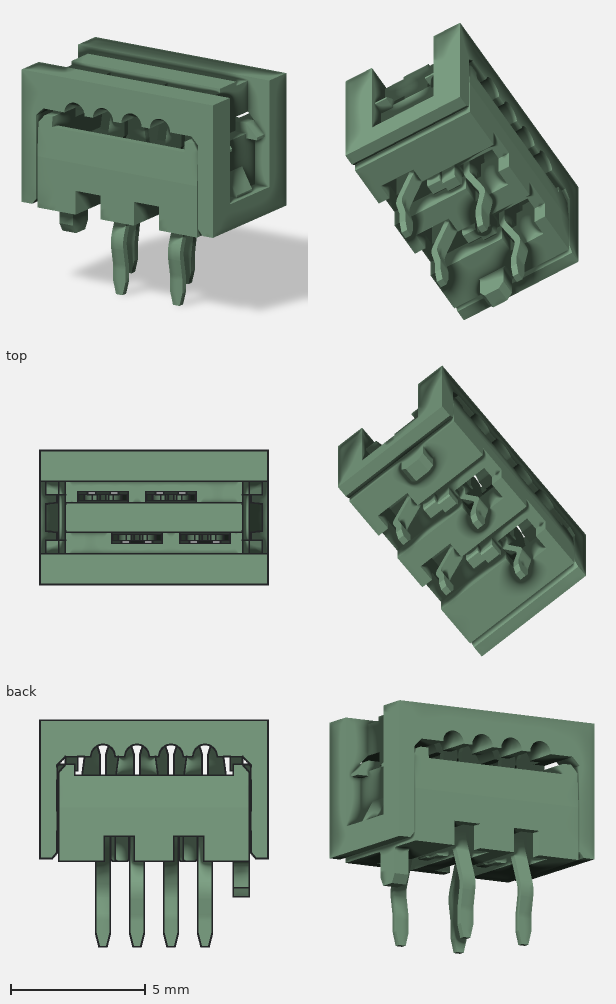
import cadquery as cq
import math


length = 8.51
width = 5.0
height = 8.45
half_width = width / 2
top_z = 5.26
pitch = 1.27
front_row_x = (-pitch / 2, 1.5 * pitch)
wire_x = [(i - 1.5) * pitch for i in range(4)]

cover_bottom_z = 0.1
opening_half_length = 3.61
opening_top_z = 3.9
opening_corner_x = 3.3
opening_corner_z = 3.58
lead_in_width = 0.19
lead_in_height = 0.22
window_half_width = 1.345
sill_z = 1.115
block_half_length = 3.3
block_top_z = 5.1
rib_half_width = 0.55
wire_radius = 0.45
tongue_length = 0.47
tongue_half_width = 0.49
tongue_bottom_z = 3.37
slot_half_length = 0.94
slot_outer_y = 0.95

housing_half_length = 3.56
wall_top_z = 3.21
ear_top_z = 3.61
ear_length = 0.61
ear_inner_y = 0.84
ear_chamfer_length = 0.26
ear_chamfer_height = 0.3
side_taper_z = 2.0
side_taper = 0.085
side_wall = 0.375
floor_z = 2.38
cavity_half_length = housing_half_length - ear_length

latch_tip_x = 4.03
latch_tip_height = 0.1
upper_latch_bottom_z = 3.02
lower_latch_top_z = 2.01
lower_latch_top_half_width = 0.56
lower_latch_bottom_half_width = 0.5

notch_x = 1.29
notch_length = 1.115
notch_height = 0.93
leg_pocket_half_length = 0.57
leg_pocket_outer_y = 2.04
post_length = 0.53
post_gap = 0.29
post_depth = 0.55
post_chamfer = 0.07

peg_depth = 1.02
peg_front_y = -1.0
peg_bottom_z = -1.33
peg_tip_width = 0.2
peg_tip_height = 0.34
peg_root_fillet = 0.11

sheet = 0.25
blade_inner_y = 0.62
blade_y = blade_inner_y + sheet / 2
neck_bottom_z = 1.53
shoulder_half_width = 0.9
blade_mid_half_width = 0.78
blade_mid_z = 3.21
prong_half_width = 0.69
prong_z = 3.9
prong_round = (0.595, 4.2)
tip_outer_x = 0.39
tip_inner_x = 0.22
tip_z = 4.34
lead_in_z = 3.97
wire_slot_half_width = 0.106
wire_slot_eye_radius = 0.22
wire_slot_eye_z = 2.64

leg_half_width = 0.27
leg_tip_half_width = 0.145
leg_taper_z = -2.68
leg_bottom_z = top_z - height
leg_bend_radius = 0.84
foot_y = 1.272
leg_path = [
    (blade_y, neck_bottom_z),
    (blade_y, 0.73),
    (1.46, -1.08),
    (foot_y, -2.08),
    (foot_y, leg_bottom_z),
]


def block(x0, x1, y0, y1, z0, z1):
    """Box between two opposite corners."""
    return cq.Workplane("XY").box(x1 - x0, y1 - y0, z1 - z0, centered=False).translate((x0, y0, z0))


def prism_along_y(points, y0, y1):
    """Outline of (x, z) points extruded from y0 to y1."""
    return cq.Workplane("XZ", origin=(0, y1, 0)).polyline(points).close().extrude(y1 - y0)


def both_ends(body):
    """The body and its mirror image at the other end of the connector."""
    return body.union(body.mirror("YZ"))


def half_turn(body):
    """The body turned half round about the Z axis."""
    return body.rotate((0, 0, 0), (0, 0, 1), 180)


def both_rows(body):
    """The front row feature and its counterpart in the rear row."""
    return body.union(half_turn(body))


def cover_opening():
    """Tunnel through the cover for the housing, with cut top corners and a lead-in at the bottom."""
    lead_in_x = opening_half_length + lead_in_width
    right_half = [
        (opening_corner_x, opening_top_z),
        (opening_half_length, opening_corner_z),
        (opening_half_length, cover_bottom_z + lead_in_height),
        (lead_in_x, cover_bottom_z),
    ]
    left_half = [(-x, z) for x, z in reversed(right_half)]
    return prism_along_y(right_half + left_half, -half_width, half_width)


def build_cover():
    half_length = length / 2
    cover = block(-half_length, half_length, -half_width, half_width, cover_bottom_z, top_z)
    cover = cover.cut(
        block(-half_length, half_length, -window_half_width, window_half_width, sill_z, top_z)
    )
    cover = cover.cut(cover_opening())

    cover = cover.union(
        block(
            -block_half_length, block_half_length,
            -window_half_width, window_half_width, opening_top_z, block_top_z,
        )
    )
    cover = cover.union(
        block(
            -block_half_length, block_half_length,
            -rib_half_width, rib_half_width, opening_top_z, top_z,
        )
    )
    tongue = block(
        -block_half_length, -block_half_length + tongue_length,
        -tongue_half_width, tongue_half_width, tongue_bottom_z, opening_top_z,
    )
    cover = cover.union(both_ends(tongue))

    for x in wire_x:
        groove = cq.Workplane("XZ", origin=(x, half_width, opening_top_z)).circle(wire_radius).extrude(width)
        cover = cover.cut(groove)

    for x in front_row_x:
        slot = block(
            x - slot_half_length, x + slot_half_length,
            -slot_outer_y, -rib_half_width, opening_top_z, block_top_z,
        )
        cover = cover.cut(both_rows(slot))
    return cover


def housing_shell():
    """Body with tapered upper sides, an ear at each corner and a cavity open at the top."""
    upper_half_width = half_width - side_taper
    section = [
        (-half_width, 0),
        (half_width, 0),
        (half_width, side_taper_z),
        (upper_half_width, ear_top_z),
        (-upper_half_width, ear_top_z),
        (-half_width, side_taper_z),
    ]
    shell = (
        cq.Workplane("YZ", origin=(-housing_half_length, 0, 0))
        .polyline(section)
        .close()
        .extrude(2 * housing_half_length)
    )
    shell = shell.cut(
        block(
            -cavity_half_length, cavity_half_length,
            -half_width, half_width, wall_top_z, ear_top_z,
        )
    )
    shell = shell.cut(
        block(
            -housing_half_length, housing_half_length,
            -ear_inner_y, ear_inner_y, wall_top_z, ear_top_z,
        )
    )
    cavity_half_width = half_width - side_wall
    shell = shell.cut(
        block(
            -cavity_half_length, cavity_half_length,
            -cavity_half_width, cavity_half_width, floor_z, wall_top_z,
        )
    )
    ear_corner = prism_along_y(
        [
            (-housing_half_length, ear_top_z),
            (-housing_half_length + ear_chamfer_length, ear_top_z),
            (-housing_half_length, ear_top_z - ear_chamfer_height),
        ],
        -half_width, -window_half_width,
    )
    return shell.cut(both_rows(both_ends(ear_corner)))


def upper_latch():
    """Wedge on the outside of an ear."""
    tip_z = upper_latch_bottom_z + latch_tip_height
    outline = [
        (-housing_half_length, upper_latch_bottom_z),
        (-latch_tip_x, upper_latch_bottom_z),
        (-latch_tip_x, tip_z),
        (-housing_half_length, ear_top_z),
    ]
    return prism_along_y(outline, -window_half_width, -ear_inner_y)


def lower_latch():
    """Wedge in the middle of an end wall that hooks over the sill and narrows towards it."""
    outline = [
        (-housing_half_length, sill_z),
        (-latch_tip_x, sill_z),
        (-latch_tip_x, sill_z + latch_tip_height),
        (-housing_half_length, lower_latch_top_z),
    ]
    wedge = prism_along_y(outline, -lower_latch_top_half_width, lower_latch_top_half_width)
    face = [
        (-lower_latch_bottom_half_width, sill_z),
        (lower_latch_bottom_half_width, sill_z),
        (lower_latch_top_half_width, lower_latch_top_z),
        (-lower_latch_top_half_width, lower_latch_top_z),
    ]
    narrowing = cq.Workplane("YZ").polyline(face).close().extrude(-latch_tip_x)
    return wedge.intersect(narrowing)


def locating_peg():
    """Peg below the housing with a tapered tip and filleted root."""
    peg_x = -housing_half_length
    back_y = peg_front_y + peg_depth
    tip_start_z = peg_bottom_z + peg_tip_height
    r = peg_root_fillet
    arc_mid = r * (1 - math.sqrt(0.5))
    return (
        cq.Workplane("YZ", origin=(peg_x, 0, 0))
        .moveTo(peg_front_y - r, 0)
        .threePointArc((peg_front_y - arc_mid, -arc_mid), (peg_front_y, -r))
        .lineTo(peg_front_y, tip_start_z)
        .lineTo(peg_front_y + peg_tip_width, peg_bottom_z)
        .lineTo(back_y - peg_tip_width, peg_bottom_z)
        .lineTo(back_y, tip_start_z)
        .lineTo(back_y, -r)
        .threePointArc((back_y + arc_mid, -arc_mid), (back_y + r, 0))
        .close()
        .extrude(ear_length)
    )


def build_housing():
    housing = housing_shell()
    housing = housing.union(both_rows(both_ends(upper_latch())))
    housing = housing.union(both_ends(lower_latch()))

    half_notch = notch_length / 2
    notch = block(notch_x - half_notch, notch_x + half_notch, -half_width, half_width, 0, notch_height)
    housing = housing.cut(both_ends(notch))

    for x in front_row_x:
        pocket = block(
            x - leg_pocket_half_length, x + leg_pocket_half_length,
            -leg_pocket_outer_y, -blade_inner_y, 0, floor_z,
        )
        housing = housing.cut(both_rows(pocket))
    for x in front_row_x:
        post = block(x - post_gap - post_length, x - post_gap, -post_depth, 0, 0, notch_height)
        post = post.faces("<Z").edges("|Y").chamfer(post_chamfer)
        housing = housing.union(both_rows(post))

    return housing.union(locating_peg())


def contact_blade():
    """Flat fork that rests on the housing floor, with a slot for the wire that ends in a round eye."""
    fork = (
        cq.Workplane("XZ", origin=(0, -blade_inner_y, 0))
        .moveTo(0, neck_bottom_z)
        .lineTo(leg_pocket_half_length, neck_bottom_z)
        .lineTo(leg_pocket_half_length, floor_z)
        .lineTo(shoulder_half_width, floor_z)
        .threePointArc((blade_mid_half_width, blade_mid_z), (prong_half_width, prong_z))
        .threePointArc(prong_round, (tip_outer_x, tip_z))
        .lineTo(tip_inner_x, tip_z)
        .lineTo(wire_slot_half_width, lead_in_z)
        .lineTo(wire_slot_half_width, wire_slot_eye_z)
        .lineTo(0, wire_slot_eye_z)
        .mirrorY()
        .extrude(sheet)
    )
    eye = (
        cq.Workplane("XZ", origin=(0, -blade_inner_y, wire_slot_eye_z))
        .circle(wire_slot_eye_radius)
        .extrude(sheet)
    )
    return fork.cut(eye)


def offset_path(path, distance):
    """Path moved sideways by a distance, with mitred corners and square ends."""
    angles = [math.atan2(z1 - z0, y1 - y0) for (y0, z0), (y1, z1) in zip(path, path[1:])]
    moved = []
    for i, (y, z) in enumerate(path):
        before = angles[max(i - 1, 0)]
        after = angles[min(i, len(angles) - 1)]
        normal = (before + after) / 2 + math.pi / 2
        reach = distance / math.cos((after - before) / 2)
        moved.append((y + reach * math.cos(normal), z + reach * math.sin(normal)))
    return moved


def contact_leg():
    """Strip bent outwards and back to vertical, with a tapered tip."""
    path = [(-y, z) for y, z in leg_path]
    outer_side = offset_path(path, -sheet / 2)
    inner_side = offset_path(path, sheet / 2)
    leg = (
        cq.Workplane("YZ", origin=(-leg_half_width, 0, 0))
        .polyline(outer_side + inner_side[::-1])
        .close()
        .extrude(2 * leg_half_width)
    )
    outer_radius = leg_bend_radius + sheet
    for bend, peak in ((1, False), (2, True), (3, False)):
        radii = (outer_radius, leg_bend_radius) if peak else (leg_bend_radius, outer_radius)
        for (y, z), radius in zip((outer_side[bend], inner_side[bend]), radii):
            corner = cq.NearestToPointSelector((0, y, z))
            leg = leg.edges("|X").edges(corner).fillet(radius)

    tip_outline = [
        (-leg_half_width, neck_bottom_z),
        (-leg_half_width, leg_taper_z),
        (-leg_tip_half_width, leg_bottom_z),
        (leg_tip_half_width, leg_bottom_z),
        (leg_half_width, leg_taper_z),
        (leg_half_width, neck_bottom_z),
    ]
    return leg.intersect(prism_along_y(tip_outline, -half_width, 0))


def build_contact():
    return contact_blade().union(contact_leg())


cover = build_cover()
housing = build_housing()

contact = build_contact()
contacts = []
for x in front_row_x:
    front_contact = contact.translate((x, 0, 0))
    contacts.append(front_contact.solids().val())
    contacts.append(half_turn(front_contact).solids().val())

result = cq.Compound.makeCompound([*cover.solids().vals(), *housing.solids().vals(), *contacts])